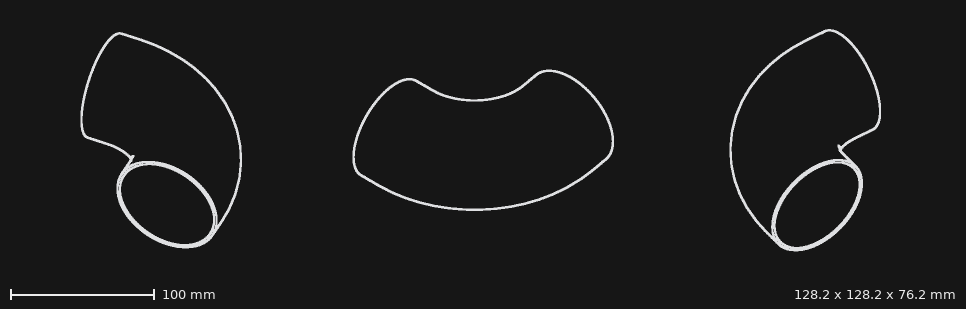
import cadquery as cq

overall_length = 128.2
outer_diameter = 76.2
inner_diameter = 72.3
bend_radius = 75.0
bend_angle = 90

collar_length = overall_length - bend_radius - outer_diameter / 2


def ring(plane):
    """Pipe cross-section drawn on the given plane."""
    return cq.Workplane(plane).circle(outer_diameter / 2).circle(inner_diameter / 2)


x_end_plane = cq.Plane(origin=(0, bend_radius, 0), xDir=(0, 1, 0), normal=(-1, 0, 0))
y_end_plane = cq.Plane(origin=(bend_radius, 0, 0), xDir=(1, 0, 0), normal=(0, -1, 0))

bend = ring(y_end_plane).revolve(bend_angle, (-bend_radius, 0), (-bend_radius, 1))

result = bend
for end_plane in (x_end_plane, y_end_plane):
    result = result.union(ring(end_plane).extrude(collar_length))